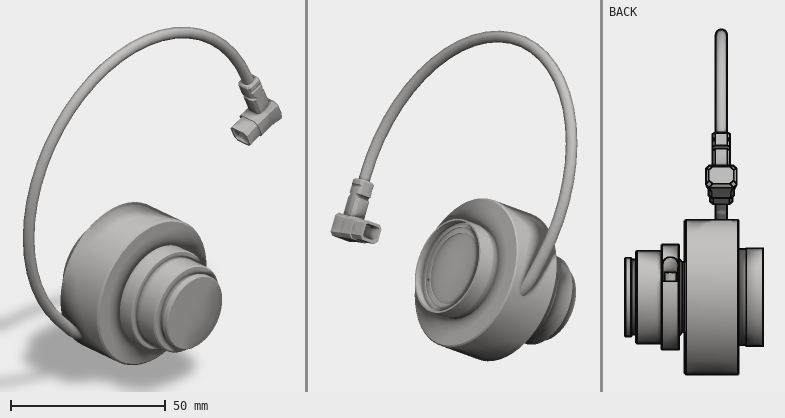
import cadquery as cq
import math


lens_length = 44.7
rim_radius = 15.8
rim_end = 5.5
hood_radius = 15.6
ring_radius = 25.0
ring_start = 7.8
ring_end = 25.5
ring_front_chamfer = 0.5
ring_rear_chamfer = 0.6
neck_radius = 11.4
neck_end = 26.2
collar_radius = 12.4
clamp_radius = 17.1
clamp_start = 27.1
clamp_end = 32.9
clamp_chamfer = 0.3
clamp_width = clamp_end - clamp_start
clamp_mid = (clamp_start + clamp_end) / 2
barrel_radius = 15.0
barrel_end = 41.2
barrel_chamfer = 0.5
groove_radius = 12.2
groove_end = 42.4
mount_radius = 12.7
mount_chamfer = 0.3

bore_radius = 15.2
bore_depth = 2.7
retainer_radius = 13.9
retainer_depth = 3.1
lens_edge_radius = 11.9
lens_edge_depth = 3.4
lens_apex_depth = 3.2
spanner_hole_diameter = 1.3
spanner_hole_offset = 12.9
spanner_hole_depth = 1.1

screw_y = 13.6
seat_diameter = 5.0
seat_z = 5.1
seat_flat_y = 14.2
screw_head_diameter = 3.8
screw_head_height = 2.8
screw_socket_diameter = 2.5
screw_socket_depth = 1.7

cable_diameter = 3.8
cable_x = 13.5
loop_radius = 52.0
loop_center_y = 7.2
loop_center_z = 32.6
loop_start_angle = 24.0
loop_end_angle = 223.0
plug_lead = 3.4
ring_lead = 7.4
entry_bend_radius = 13.6
entry_bend_angle = 40.0

boot_start = 1.7
boot_end = 15.9
boot_width = 5.7
boot_thickness = 5.8
boot_chamfer = 0.9
boot_collar_chamfer = 0.5
side_groove_position = 4.1
side_groove_diameter = 1.4
side_groove_depth = 0.5
notch_position = 7.2
notch_diameter = 1.3
notch_floor = 1.4

head_back = -4.3
head_shoulder = -3.2
head_taper_end = 0.9
head_step = 5.8
head_front = 11.0
head_chamfer = 1.1

back_section = (4.0, 14.7, 20.7)
shoulder_section = (5.0, 13.8, 21.6)
shell_section = (4.2, 14.2, 21.4)
nose_section = (3.8, 14.7, 21.2)

socket_wall = 0.9
socket_depth = 4.5
socket_chamfer = 0.6


def lens_body():
    """Lens body as one turned solid."""
    outline = [
        (lens_apex_depth, 0),
        (lens_edge_depth, lens_edge_radius),
        (retainer_depth, lens_edge_radius),
        (retainer_depth, retainer_radius),
        (bore_depth, retainer_radius),
        (bore_depth, bore_radius),
        (0, bore_radius),
        (0, rim_radius),
        (rim_end, rim_radius),
        (rim_end, hood_radius),
        (ring_start, hood_radius),
        (ring_start, ring_radius - ring_front_chamfer),
        (ring_start + ring_front_chamfer, ring_radius),
        (ring_end - ring_rear_chamfer, ring_radius),
        (ring_end, ring_radius - ring_rear_chamfer),
        (ring_end, neck_radius),
        (neck_end, neck_radius),
        (clamp_start, collar_radius),
        (clamp_start, clamp_radius - clamp_chamfer),
        (clamp_start + clamp_chamfer, clamp_radius),
        (clamp_end - clamp_chamfer, clamp_radius),
        (clamp_end, clamp_radius - clamp_chamfer),
        (clamp_end, barrel_radius),
        (barrel_end - barrel_chamfer, barrel_radius),
        (barrel_end, barrel_radius - barrel_chamfer),
        (barrel_end, groove_radius),
        (groove_end, groove_radius),
        (groove_end, mount_radius - mount_chamfer),
        (groove_end + mount_chamfer, mount_radius),
        (lens_length - mount_chamfer, mount_radius),
        (lens_length, mount_radius - mount_chamfer),
        (lens_length, 0),
    ]
    return cq.Workplane("XY").polyline(outline).close().revolve(360, (0, 0, 0), (1, 0, 0))


def spanner_holes():
    """Two opposite blind holes in the retaining ring around the front lens."""
    return (
        cq.Workplane("YZ", origin=(retainer_depth, 0, 0))
        .pushPoints([(-spanner_hole_offset, 0), (spanner_hole_offset, 0)])
        .circle(spanner_hole_diameter / 2)
        .extrude(spanner_hole_depth)
    )


def clamp_screw_seat():
    """Flat seat cut into the clamp ring, open to its outside."""
    height = clamp_radius - seat_z
    plane = cq.Workplane("XY", origin=(clamp_mid, 0, seat_z))
    round_seat = plane.center(0, screw_y).circle(seat_diameter / 2).extrude(height)
    flat_length = clamp_radius - seat_flat_y
    flat = plane.center(0, seat_flat_y + flat_length / 2).rect(clamp_width, flat_length).extrude(height)
    return round_seat.union(flat)


def clamp_screw():
    """Socket-head screw standing on the clamp seat."""
    return (
        cq.Workplane("XY", origin=(clamp_mid, screw_y, seat_z))
        .circle(screw_head_diameter / 2)
        .extrude(screw_head_height)
        .faces(">Z")
        .workplane()
        .polygon(6, screw_socket_diameter)
        .cutBlind(-screw_socket_depth)
    )


def loop_point(angle):
    """Point (y, z) on the cable loop at an angle measured from +Y."""
    a = math.radians(angle)
    return loop_center_y + loop_radius * math.cos(a), loop_center_z + loop_radius * math.sin(a)


def advance(point, heading, distance):
    """Move a (y, z) point by a distance along a heading in degrees."""
    a = math.radians(heading)
    return point[0] + distance * math.cos(a), point[1] + distance * math.sin(a)


def cable():
    """Round cable: lead out of the plug, large loop, straight run and bend into the ring."""
    loop_start = loop_point(loop_start_angle)
    loop_end = loop_point(loop_end_angle)
    plug_end = advance(loop_start, loop_start_angle - 90, plug_lead)
    ring_heading = loop_end_angle + 90
    bend_start = advance(loop_end, ring_heading, ring_lead)
    bend_mid_chord = 2 * entry_bend_radius * math.sin(math.radians(entry_bend_angle / 4))
    bend_chord = 2 * entry_bend_radius * math.sin(math.radians(entry_bend_angle / 2))
    bend_mid = advance(bend_start, ring_heading + entry_bend_angle / 4, bend_mid_chord)
    bend_end = advance(bend_start, ring_heading + entry_bend_angle / 2, bend_chord)
    loop_mid = loop_point((loop_start_angle + loop_end_angle) / 2)
    path = (
        cq.Workplane("YZ", origin=(cable_x, 0, 0))
        .moveTo(*plug_end)
        .lineTo(*loop_start)
        .threePointArc(loop_mid, loop_end)
        .lineTo(*bend_start)
        .threePointArc(bend_mid, bend_end)
    )
    a = math.radians(loop_start_angle)
    start_plane = cq.Plane(
        origin=(cable_x, *plug_end), xDir=(1, 0, 0), normal=(0, -math.sin(a), math.cos(a))
    )
    return cq.Workplane(start_plane).circle(cable_diameter / 2).sweep(path)



def octagon(v, section, chamfer):
    """Closed wire across v: a rectangle with its four corners cut off."""
    half_width, top, bottom = section
    inner = half_width - chamfer
    corners = [
        (-half_width, top + chamfer),
        (-inner, top),
        (inner, top),
        (half_width, top + chamfer),
        (half_width, bottom - chamfer),
        (inner, bottom),
        (-inner, bottom),
        (-half_width, bottom - chamfer),
    ]
    return cq.Wire.makePolygon([cq.Vector(x, v, u) for x, u in corners], close=True)


def head_part(start_v, start_section, end_v, end_section, chamfer=head_chamfer):
    """Straight-sided solid between two octagon sections."""
    wires = [octagon(start_v, start_section, chamfer), octagon(end_v, end_section, chamfer)]
    return cq.Workplane(cq.Solid.makeLoft(wires, True))


def plug_head():
    """Cross head: chamfered back, tapered shell, straight shell, then a smaller open nose."""
    head = head_part(head_back, back_section, head_shoulder, shoulder_section)
    head = head.union(head_part(head_shoulder, shoulder_section, head_taper_end, shell_section))
    head = head.union(head_part(head_taper_end, shell_section, head_step, shell_section))
    head = head.union(head_part(head_step, nose_section, head_front, nose_section))
    half_width, top, bottom = nose_section
    opening = (half_width - socket_wall, top + socket_wall, bottom - socket_wall)
    socket_floor = head_front - socket_depth
    return head.cut(head_part(socket_floor, opening, head_front, opening, socket_chamfer))


def plug_boot():
    """Neck between cable and head, with side grooves and a notch on each narrow side."""
    boot = (
        cq.Workplane("XY", origin=(0, 0, boot_start))
        .rect(boot_width, boot_thickness)
        .extrude(boot_end - boot_start)
        .edges("|Z")
        .chamfer(boot_chamfer)
        .faces("<Z")
        .chamfer(boot_collar_chamfer)
    )
    for side in (-1, 1):
        groove_x = side * (boot_width / 2 + side_groove_diameter / 2 - side_groove_depth)
        groove = (
            cq.Workplane("XZ", origin=(groove_x, 0, side_groove_position))
            .circle(side_groove_diameter / 2)
            .extrude(boot_thickness, both=True)
        )
        notch_v = side * (notch_floor + notch_diameter / 2)
        opening_length = boot_thickness / 2
        notch = (
            cq.Workplane("YZ", origin=(0, 0, notch_position))
            .center(notch_v, 0)
            .circle(notch_diameter / 2)
            .extrude(boot_width, both=True)
        )
        opening = cq.Workplane("XY").box(2 * boot_width, opening_length, notch_diameter)
        opening = opening.translate((0, notch_v + side * opening_length / 2, notch_position))
        boot = boot.cut(groove).cut(notch).cut(opening)
    return boot


def plug():
    """Complete plug, placed on the free end of the cable."""
    a = math.radians(loop_start_angle)
    along = (0, math.sin(a), -math.cos(a))
    frame = cq.Plane(origin=(cable_x, *loop_point(loop_start_angle)), xDir=(1, 0, 0), normal=along)
    local = plug_head().union(plug_boot())
    return cq.Workplane(local.val().moved(cq.Location(frame)))


lens = lens_body().cut(spanner_holes()).cut(clamp_screw_seat()).union(clamp_screw())
result = lens.union(cable()).union(plug())